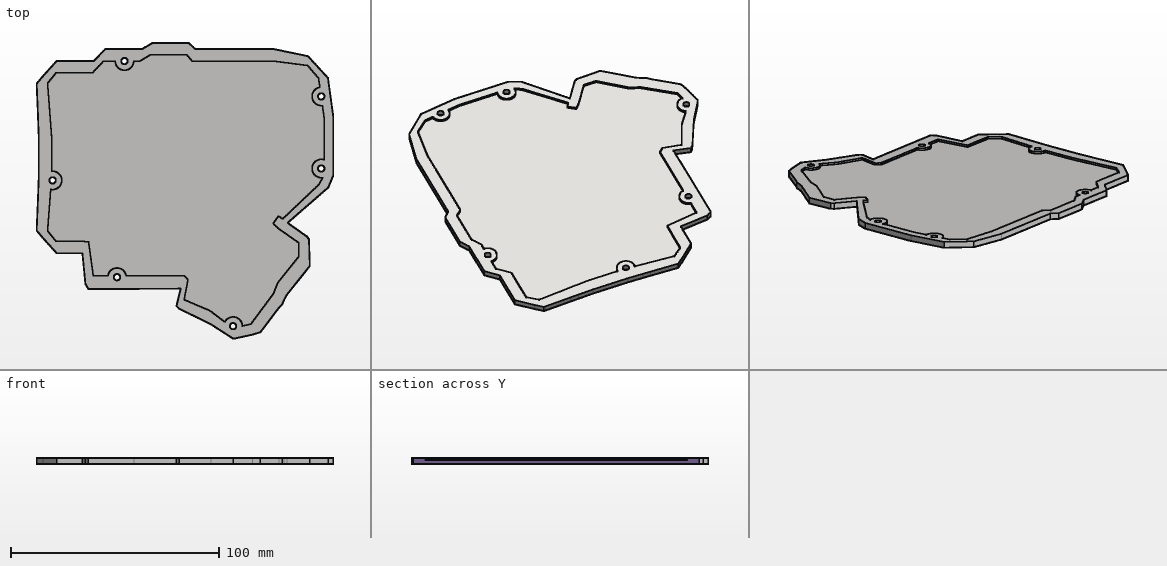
import cadquery as cq

plate_thickness = 3.0
pocket_depth = 1.0
boss_diameter = 8.8
screw_hole_diameter = 3.0

left_side_middle_y = 16.33

outer_left_half = [
    (-70.3, 25.5),
    (-70.6, 33.4),
    (-70.7, 37.2),
    (-71.3, 50.9),
    (-71.3, 51.6),
    (-68.3, 55.2),
    (-61.6, 62.6),
]
pocket_left_half = [(-64.0, 25.5), (-66.0, 51.8), (-62.0, 56.8)]

outer_rest = [
    (-43.8, 62.6),
    (-38.2, 68.3),
    (-20.5, 68.3),
    (-15.7, 71.2),
    (1.9, 71.2),
    (4.8, 68.3),
    (42.4, 68.3),
    (59.0, 64.9),
    (68.7, 54.3),
    (71.3, 35.7),
    (71.3, 7.5),
    (68.9, 1.7),
    (49.3, -15.3),
    (58.6, -21.8),
    (59.6, -23.2),
    (60.0, -36.0),
    (48.9, -49.9),
    (47.5, -52.6),
    (46.8, -54.3),
    (45.0, -56.2),
    (36.2, -67.9),
    (32.4, -69.0),
    (23.2, -71.0),
    (12.4, -64.0),
    (-2.7, -56.6),
    (-4.1, -55.2),
    (-2.1, -46.9),
    (-24.5, -47.0),
    (-46.5, -47.0),
    (-47.9, -44.5),
    (-49.3, -30.0),
]

pocket_rest = [
    (-44.5, 56.8),
    (-39.1, 62.5),
    (-21.7, 62.5),
    (-16.7, 65.5),
    (0.9, 65.5),
    (3.4, 62.5),
    (42.4, 62.5),
    (58.9, 60.3),
    (64.2, 54.2),
    (66.9, 35.0),
    (66.9, 7.7),
    (64.3, 3.1),
    (46.9, -13.4),
    (44.9, -12.0),
    (42.4, -15.5),
    (44.6, -17.8),
    (54.8, -25.0),
    (54.8, -31.4),
    (44.6, -44.0),
    (42.4, -49.5),
    (31.7, -63.9),
    (23.1, -65.9),
    (12.0, -57.5),
    (-0.4, -52.2),
    (1.4, -42.6),
    (-0.3, -40.6),
    (-44.1, -40.6),
    (-46.4, -24.2),
]

screw_positions = [
    (-29.1, 62.5),
    (65.5, 45.5),
    (65.5, 10.8),
    (23.1, -64.9),
    (-32.7, -41.4),
    (-63.6, 5.1),
]


def closed_outline(left_half, rest):
    """Join the mirrored left side to the rest of an outline."""
    lower_half = [(x, 2 * left_side_middle_y - y) for x, y in reversed(left_half)]
    return lower_half + left_half + rest


def prism(outline, height):
    return cq.Workplane("XY").polyline(outline).close().extrude(height)


plate = prism(closed_outline(outer_left_half, outer_rest), plate_thickness)

floor_height = plate_thickness - pocket_depth
pocket = prism(closed_outline(pocket_left_half, pocket_rest), pocket_depth)
bosses = cq.Workplane("XY").pushPoints(screw_positions).circle(boss_diameter / 2).extrude(pocket_depth)
pocket = pocket.cut(bosses).translate((0, 0, floor_height))

screw_holes = (
    cq.Workplane("XY")
    .pushPoints(screw_positions)
    .circle(screw_hole_diameter / 2)
    .extrude(plate_thickness)
)

result = plate.cut(pocket).cut(screw_holes)